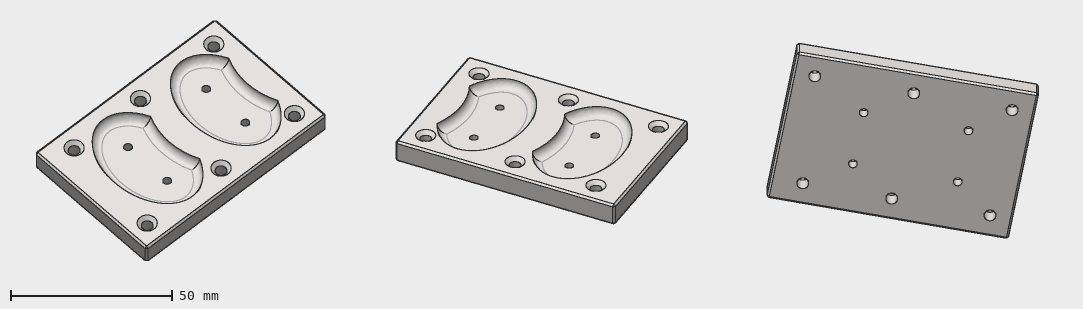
import cadquery as cq

width = 50.8
length = 76.2
thickness = 7.6
edge_chamfer = 0.7

pocket_half_width = 20.3
pocket_half_height = 13.95
bite_radius = 26.1
bite_lowest = 9.15
pocket_depth = 3.05
floor_fillet = 3.0
top_pocket_y = 19.05
pocket_pitch = 33.1
pocket_centres_y = [top_pocket_y, top_pocket_y - pocket_pitch]

floor_hole_diameter = 2.7
floor_hole_spacing = 17.8

screw_diameter = 3.65
sink_diameter = 6.25
sink_angle = 90.0
screw_x = 18.4
screw_top_y = 31.0
screw_middle_y = 0.0
screw_bottom_left_y = -28.05
screw_bottom_right_y = -31.25
screw_points = [
    (-screw_x, screw_top_y),
    (screw_x, screw_top_y),
    (-screw_x, screw_middle_y),
    (screw_x, screw_middle_y),
    (-screw_x, screw_bottom_left_y),
    (screw_x, screw_bottom_right_y),
]


def make_plate():
    """Rectangular plate with every edge chamfered."""
    plate = cq.Workplane("XY").box(width, length, thickness, centered=(True, True, False))
    return plate.edges().chamfer(edge_chamfer)


def make_pocket(centre_y):
    """Solid to remove for one pocket, with a rounded wall-to-floor edge."""
    floor = cq.Workplane("XY", origin=(0, centre_y, thickness - pocket_depth))
    oval = floor.ellipse(pocket_half_width, pocket_half_height).extrude(pocket_depth)
    bite = floor.center(0, bite_lowest + bite_radius).circle(bite_radius).extrude(pocket_depth)
    return oval.cut(bite).faces("<Z").edges().fillet(floor_fillet)


result = make_plate()
for centre_y in pocket_centres_y:
    result = result.cut(make_pocket(centre_y))

floor_hole_points = [
    (side * floor_hole_spacing / 2, centre_y)
    for centre_y in pocket_centres_y
    for side in (-1, 1)
]
top_plane = cq.Workplane("XY", origin=(0, 0, thickness))
floor_holes = top_plane.pushPoints(floor_hole_points).circle(floor_hole_diameter / 2).extrude(-thickness)
result = result.cut(floor_holes)

result = (
    result.copyWorkplane(top_plane)
    .pushPoints(screw_points)
    .cskHole(screw_diameter, sink_diameter, sink_angle)
)